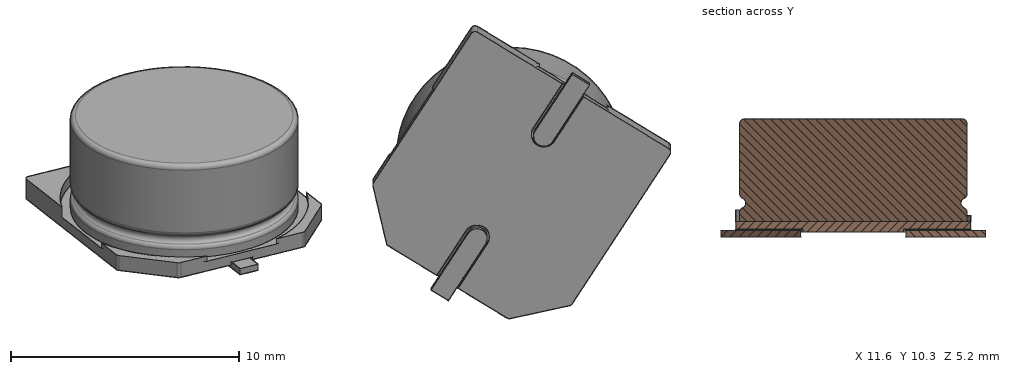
import cadquery as cq
import math

total_length = 11.6
total_height = 5.2

base_side = 10.3
base_bottom = 0.22
seat_level = 0.7
low_wall_level = 0.95
high_wall_level = 1.2
corner_chamfer = 2.0
corner_radius = 0.21
seat_diameter = 10.88

can_diameter = 10.0
can_top_radius = 0.23
groove_diameter = 0.45
groove_depth = 0.27
groove_level = 1.5

lead_width = 0.9
lead_thickness = 0.3
lead_reach = 3.5
lead_count = 2
slot_clearance = 0.09
slot_top = 0.35

lead_outer_x = -total_length / 2
lead_inner_x = lead_outer_x + lead_reach
lead_angles = [index * 360 / lead_count for index in range(lead_count)]


def make_lead_prism(width, inner_x, outer_x, bottom, top):
    """Flat bar along X whose inner end is a full half round of the bar's width."""
    half_width = width / 2
    arc_center_x = inner_x - half_width
    return (
        cq.Workplane("XY", origin=(0, 0, bottom))
        .moveTo(outer_x, -half_width)
        .lineTo(arc_center_x, -half_width)
        .threePointArc((inner_x, 0), (arc_center_x, half_width))
        .lineTo(outer_x, half_width)
        .close()
        .extrude(top - bottom)
    )


def turn_about_z(shape, angle):
    return shape.rotate((0, 0, 0), (0, 0, 1), angle)


def make_lead(angle):
    lead = make_lead_prism(lead_width, lead_inner_x, lead_outer_x, 0, lead_thickness)
    return turn_about_z(lead, angle)


def make_lead_slot(angle):
    """Clearance slot in the underside of the base, open at the side wall."""
    slot_width = lead_width + 2 * slot_clearance
    slot_inner_x = lead_inner_x + slot_clearance
    slot = make_lead_prism(slot_width, slot_inner_x, lead_outer_x, base_bottom, slot_top)
    return turn_about_z(slot, angle)


def make_base():
    """Plate with two chamfered +X corners, a round seat for the can and two wall heights."""
    base = (
        cq.Workplane("XY", origin=(0, 0, base_bottom))
        .rect(base_side, base_side)
        .extrude(high_wall_level - base_bottom)
        .edges("|Z and >X")
        .chamfer(corner_chamfer)
        .edges("|Z")
        .fillet(corner_radius)
    )
    seat = cq.Workplane("XY", origin=(0, 0, seat_level)).circle(seat_diameter / 2).extrude(total_height)
    low_side_space = (
        cq.Workplane("XY", origin=(0, 0, low_wall_level))
        .rect(base_side, base_side)
        .extrude(total_height)
        .translate((base_side / 2, 0, 0))
    )
    base = base.cut(seat).cut(low_side_space)
    for angle in lead_angles:
        base = base.cut(make_lead_slot(angle))
    return base


def make_can():
    """Revolved can with a rounded top edge and a smooth groove above its foot.

    The groove wall is a hollow arc that runs tangent into a round lip above and below it;
    all three arcs share one radius.
    """
    radius = can_diameter / 2
    groove_radius = groove_diameter / 2
    lip_x = radius - groove_radius
    hollow_x = radius - groove_depth + groove_radius
    arc_angle = math.acos(1 - groove_depth / (2 * groove_radius))
    joint_x = radius - groove_depth / 2
    joint_rise = groove_radius * math.sin(arc_angle)
    lip_rise = 2 * joint_rise
    lip_mid_x = lip_x + groove_radius * math.cos(arc_angle / 2)
    lip_mid_rise = lip_rise - groove_radius * math.sin(arc_angle / 2)
    profile = (
        cq.Workplane("XZ")
        .moveTo(0, seat_level)
        .lineTo(radius, seat_level)
        .lineTo(radius, groove_level - lip_rise)
        .threePointArc((lip_mid_x, groove_level - lip_mid_rise), (joint_x, groove_level - joint_rise))
        .threePointArc((hollow_x - groove_radius, groove_level), (joint_x, groove_level + joint_rise))
        .threePointArc((lip_mid_x, groove_level + lip_mid_rise), (radius, groove_level + lip_rise))
        .lineTo(radius, total_height)
        .lineTo(0, total_height)
        .close()
    )
    can = profile.revolve(360, (0, 0, 0), (0, 1, 0))
    return can.faces(">Z").edges().fillet(can_top_radius)


base = make_base()
can = make_can()
leads = [make_lead(angle) for angle in lead_angles]

result = cq.Compound.makeCompound([base.val(), can.val(), *[lead.val() for lead in leads]])